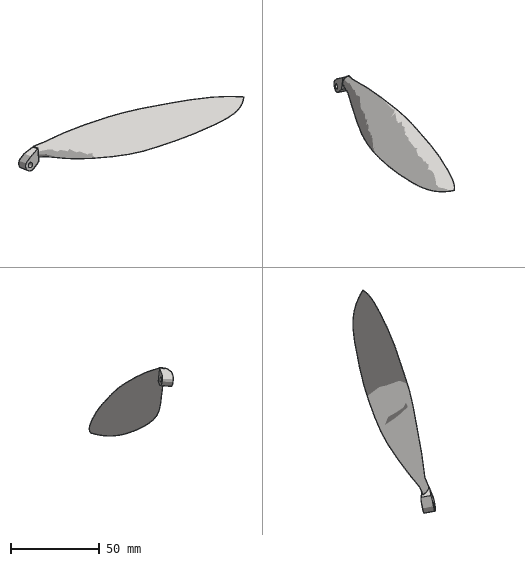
import cadquery as cq
import math


hub_width = 6.4
hub_radius = 3.5
pin_diameter = 3.0
strap_length = 3.7
strap_angle = 42
hub_face_y = 6.4
hub_face_top = 8.5
taper_inset = 1.1

neck_start = (6.0, -2.0, 8.6, 1.6, 3.0, 2.7)
blade_root = (13.0, -1.1, 10.0, 2.0, 2.0, 2.0)
blade_sections = [
    blade_root,
    (18.4, -2.0, 10.5, 3.2, 0.6, 2.0),
    (24.5, -2.7, 11.2, 4.5, -0.8, 2.5),
    (43.7, -4.6, 12.6, 9.0, -3.4, 3.0),
    (63.0, -6.5, 13.1, 12.3, -4.3, 3.0),
    (82.2, -7.4, 13.1, 13.6, -3.7, 2.7),
    (101.5, -7.4, 12.3, 13.8, -2.0, 2.2),
    (120.8, -6.7, 11.4, 12.5, -0.2, 1.6),
    (140.0, -4.8, 10.0, 9.6, 2.5, 1.1),
    (152.5, -2.4, 8.2, 3.5, 5.6, 0.5),
    (156.5, -0.5, 7.7, -0.2, 7.5, 0.08),
]
upper_share = 0.75


def lens_wire(section):
    """Closed section of two arcs meeting at the leading and trailing edges."""
    y, lead_x, lead_z, trail_x, trail_z, thickness = section
    chord_x = trail_x - lead_x
    chord_z = trail_z - lead_z
    chord = math.hypot(chord_x, chord_z)
    upper = upper_share * thickness
    lower = upper - thickness

    def mid_chord(offset):
        return cq.Vector(
            (lead_x + trail_x) / 2 - offset * chord_z / chord,
            y,
            (lead_z + trail_z) / 2 + offset * chord_x / chord,
        )

    lead = cq.Vector(lead_x, y, lead_z)
    trail = cq.Vector(trail_x, y, trail_z)
    return cq.Wire.assembleEdges([
        cq.Edge.makeThreePointArc(lead, mid_chord(upper), trail),
        cq.Edge.makeThreePointArc(trail, mid_chord(lower), lead),
    ])


def loft(sections, ruled=False):
    return cq.Workplane(obj=cq.Solid.makeLoft([lens_wire(s) for s in sections], ruled))


def strap_point(along, across):
    """Y, Z of a point given along and square to the strap."""
    angle = math.radians(strap_angle)
    return (
        along * math.cos(angle) - across * math.sin(angle),
        along * math.sin(angle) + across * math.cos(angle),
    )


def taper_planform():
    """Prism bounding the hub: parallel along the strap, narrowing beyond it."""
    half_width = hub_width / 2
    angle = math.radians(strap_angle)
    tip = hub_face_y * math.cos(angle) + hub_face_top * math.sin(angle)
    tip_half_width = half_width - taper_inset
    across = cq.Vector(0, -math.sin(angle), math.cos(angle))
    along = cq.Vector(0, math.cos(angle), math.sin(angle))
    return (
        cq.Workplane(cq.Plane(origin=(0, 0, 0), xDir=along, normal=across))
        .polyline([
            (-hub_radius, -half_width),
            (strap_length, -half_width),
            (tip, -tip_half_width),
            (tip, tip_half_width),
            (strap_length, half_width),
            (-hub_radius, half_width),
        ])
        .close()
        .extrude(hub_width, both=True)
    )


def make_hub():
    angle = math.radians(strap_angle)
    face_bottom = hub_face_y * math.tan(angle) - hub_radius / math.cos(angle)
    hub = (
        cq.Workplane("YZ")
        .moveTo(*strap_point(0, hub_radius))
        .threePointArc(strap_point(-hub_radius, 0), strap_point(0, -hub_radius))
        .lineTo(hub_face_y, face_bottom)
        .lineTo(hub_face_y, hub_face_top)
        .lineTo(*strap_point(strap_length, hub_radius))
        .close()
        .extrude(hub_width / 2, both=True)
    )
    hub = hub.intersect(taper_planform())
    pin_hole = cq.Workplane("YZ").circle(pin_diameter / 2).extrude(hub_width, both=True)
    return hub.cut(pin_hole)


neck = loft([neck_start, blade_root], ruled=True)
blade = loft(blade_sections)

result = make_hub().union(neck).union(blade)